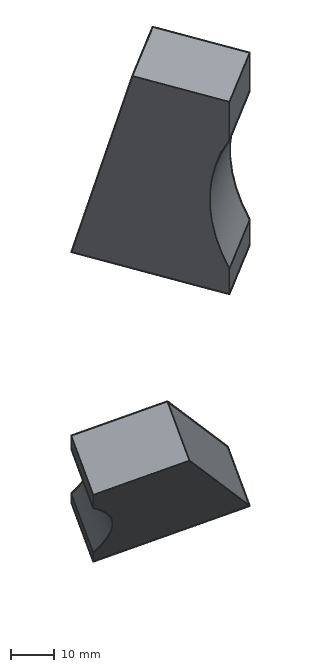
import cadquery as cq

height = 75.0
base_width = 38.7
top_width = 23.8
thickness = 15.0

recess_bottom = 10.0
recess_top = 60.0
recess_depth = 4.8

right_x = base_width / 2
left_x = -base_width / 2
top_left_x = right_x - top_width
recess_middle = (recess_bottom + recess_top) / 2

outline = (
    cq.Workplane("XZ")
    .moveTo(left_x, 0)
    .lineTo(right_x, 0)
    .lineTo(right_x, recess_bottom)
    .threePointArc((right_x - recess_depth, recess_middle), (right_x, recess_top))
    .lineTo(right_x, height)
    .lineTo(top_left_x, height)
    .close()
)

result = outline.extrude(thickness / 2, both=True)